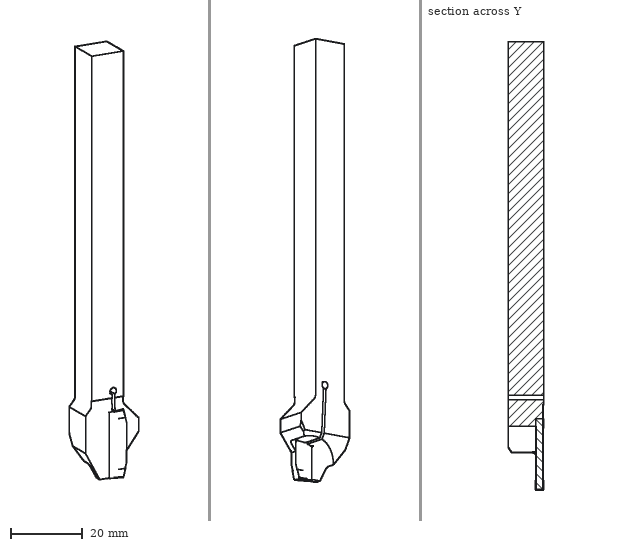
import cadquery as cq
import math

TOOL_LENGTH = 125.0
SHANK_SIZE = 10.0

SIDE_STEP = 0.2
HEAD_X = SHANK_SIZE - SIDE_STEP
STEP_Z = 23.9
HEAD_FRONT_Y = -1.9
HEAD_BACK_Y = 15.0
SHOULDER_Z = 21.9
SHOULDER_FILLET = 1.9
FRONT_SHOULDER_Z = 19.8
BACK_SHOULDER_Z = 16.8
FRONT_CORNER_Z = 8.9
BACK_CORNER_Z = 12.9

BLADE_THICKNESS = 2.0
BLADE_X = HEAD_X - BLADE_THICKNESS
BLADE_BOTTOM_Z = 0.5
BLADE_BOTTOM_Y = 2.6
JAW_TIP_Z = 7.8

RELIEF_RADIUS = 10.9
RELIEF_FILLET = 0.9

BEVEL_TOP_Z = 12.0
BEVEL_LOW_X = 4.6
BEVEL_LOW_Z = 5.0

FACET_WIDTH = 0.5
FACET_TOP_Z = 14.6
FACET_SLOPE = 2.0

SLOT_WIDTH = 0.9
SLOT_HOLE_Y = 6.8
SLOT_HOLE_Z = 25.9
SLOT_HOLE_RADIUS = 1.0
SLOT_FOOT_Y = 7.6
SLOT_FOOT_Z = 7.5

INSERT_LENGTH = 20.1
TIP_Y = SHANK_SIZE
INSERT_BACK_Y = 11.1
INSERT_FRONT_Y = 5.6
INSERT_END_RISE = 0.4
RAKE_TOP_Z = 4.2

EDGE_OVERHANG = SIDE_STEP
EDGE_HEIGHT = 2.6
TAPER_TOP_Y = 8.6
TAPER_FOOT_Y = 7.1
EDGE_CHAMFER = 0.4

CUT_MARGIN = 6.2


def prism_along_x(points, x_start, x_end):
    """Solid with a (y, z) outline, running from x_start to x_end."""
    return cq.Workplane("YZ", origin=(x_start, 0, 0)).polyline(points).close().extrude(x_end - x_start)


def make_shank():
    shank = cq.Workplane("XY").box(SHANK_SIZE, SHANK_SIZE, TOOL_LENGTH - STEP_Z, centered=False)
    return shank.translate((0, 0, STEP_Z))


def make_head():
    """Head with sloping shoulders, each filleted into the shank."""
    outline = [
        (0, STEP_Z),
        (0, SHOULDER_Z),
        (HEAD_FRONT_Y, FRONT_SHOULDER_Z),
        (HEAD_FRONT_Y, FRONT_CORNER_Z),
        (BLADE_BOTTOM_Y, BLADE_BOTTOM_Z),
        (INSERT_FRONT_Y, BLADE_BOTTOM_Z),
        (INSERT_BACK_Y, JAW_TIP_Z),
        (HEAD_BACK_Y, BACK_CORNER_Z),
        (HEAD_BACK_Y, BACK_SHOULDER_Z),
        (SHANK_SIZE, SHOULDER_Z),
        (SHANK_SIZE, STEP_Z),
    ]
    head = prism_along_x(outline, 0, HEAD_X)
    for y in (0, SHANK_SIZE):
        head = head.edges(cq.NearestToPointSelector((HEAD_X / 2, y, SHOULDER_Z))).fillet(SHOULDER_FILLET)
    return head


def make_relief_cutter():
    """Round cutter whose fillet is left out over the insert, so the insert sides stay exposed."""
    disc = cq.Workplane("YZ", origin=(-CUT_MARGIN, 0, 0)).center(TIP_Y, 0).circle(RELIEF_RADIUS)
    disc = disc.extrude(BLADE_X + CUT_MARGIN)
    over_insert = cq.Workplane("XY").box(BLADE_X, INSERT_BACK_Y - INSERT_FRONT_Y, INSERT_LENGTH, centered=False)
    over_insert = disc.intersect(over_insert.translate((0, INSERT_FRONT_Y, 0)))
    return disc.faces(">X").edges().fillet(RELIEF_FILLET).union(over_insert)


def make_bevel_cutter():
    slope = (BEVEL_TOP_Z - BEVEL_LOW_Z) / BEVEL_LOW_X
    foot_x = BEVEL_TOP_Z / slope
    return (
        cq.Workplane("XZ", origin=(0, HEAD_BACK_Y, 0))
        .polyline([(0, BEVEL_TOP_Z), (foot_x, 0), (0, 0)])
        .close()
        .extrude(HEAD_BACK_Y - HEAD_FRONT_Y)
    )


def make_facet_cutter():
    normal_x = -(FACET_TOP_Z - BACK_CORNER_Z) / FACET_WIDTH
    facet_plane = cq.Plane(
        origin=(0, HEAD_BACK_Y, FACET_TOP_Z), xDir=(0, 1, FACET_SLOPE), normal=(normal_x, FACET_SLOPE, -1)
    )
    reach = 2 * (FACET_TOP_Z - BLADE_BOTTOM_Z)
    return cq.Workplane(facet_plane).rect(reach, reach).extrude(CUT_MARGIN)


def make_slot_cutter():
    tilt = math.degrees(math.atan2(SLOT_FOOT_Y - SLOT_HOLE_Y, SLOT_HOLE_Z - SLOT_FOOT_Z))
    length = math.hypot(SLOT_FOOT_Y - SLOT_HOLE_Y, SLOT_HOLE_Z - SLOT_FOOT_Z)
    slot = cq.Workplane("YZ").center(0, -length / 2).rect(SLOT_WIDTH, length).extrude(SHANK_SIZE)
    slot = slot.rotate((0, 0, 0), (1, 0, 0), tilt).translate((0, SLOT_HOLE_Y, SLOT_HOLE_Z))
    hole = cq.Workplane("YZ").center(SLOT_HOLE_Y, SLOT_HOLE_Z).circle(SLOT_HOLE_RADIUS).extrude(SHANK_SIZE)
    return slot.union(hole)


def make_cutting_end():
    """Wide lower end of the insert: full width along the rake, none left at the taper line."""
    rake_y = TIP_Y + (INSERT_BACK_Y - TIP_Y) * EDGE_HEIGHT / RAKE_TOP_Z
    outline = [
        (TIP_Y, 0),
        (rake_y, EDGE_HEIGHT),
        (TAPER_TOP_Y, EDGE_HEIGHT),
        (TAPER_FOOT_Y, INSERT_END_RISE),
    ]
    edge_start_x = BLADE_X - EDGE_OVERHANG
    edge_end_x = HEAD_X + EDGE_OVERHANG
    block = prism_along_x(outline, edge_start_x, edge_end_x)
    end_middle_y = (TIP_Y + TAPER_FOOT_Y) / 2
    for x in (edge_start_x, edge_end_x):
        lower_edge = cq.NearestToPointSelector((x, end_middle_y, INSERT_END_RISE / 2))
        block = block.edges(lower_edge).chamfer(EDGE_CHAMFER)

    taper_line = cq.Vector(0, TAPER_TOP_Y - TAPER_FOOT_Y, EDGE_HEIGHT - INSERT_END_RISE)
    foot_to_tip = cq.Vector(0, TIP_Y - TAPER_FOOT_Y, -INSERT_END_RISE)
    depth = foot_to_tip.cross(taper_line).Length / taper_line.Length
    section_plane = cq.Plane(
        origin=((BLADE_X + HEAD_X) / 2, TAPER_FOOT_Y, INSERT_END_RISE), xDir=(1, 0, 0), normal=taper_line
    )
    half_thickness = BLADE_THICKNESS / 2
    half_edge = half_thickness + EDGE_OVERHANG
    section = [(-half_thickness, 0), (half_thickness, 0), (half_edge, depth), (-half_edge, depth)]
    wedge = cq.Workplane(section_plane).polyline(section).close().extrude(INSERT_LENGTH, both=True)
    return block.intersect(wedge)


def make_insert():
    outline = [
        (TIP_Y, 0),
        (INSERT_BACK_Y, RAKE_TOP_Z),
        (INSERT_BACK_Y, INSERT_LENGTH - RAKE_TOP_Z),
        (TIP_Y, INSERT_LENGTH),
        (INSERT_FRONT_Y, INSERT_LENGTH - INSERT_END_RISE),
        (INSERT_FRONT_Y, INSERT_END_RISE),
    ]
    bar = prism_along_x(outline, BLADE_X, HEAD_X)
    end = make_cutting_end()
    other_end = end.mirror("XY", (0, 0, INSERT_LENGTH / 2))
    return bar.union(end).union(other_end)


def make_holder(insert):
    head = make_head().cut(make_relief_cutter()).cut(make_bevel_cutter()).cut(make_facet_cutter())
    return make_shank().union(head).cut(make_slot_cutter()).cut(insert)


insert = make_insert()
holder = make_holder(insert)
result = cq.Compound.makeCompound([holder.val(), insert.val()])